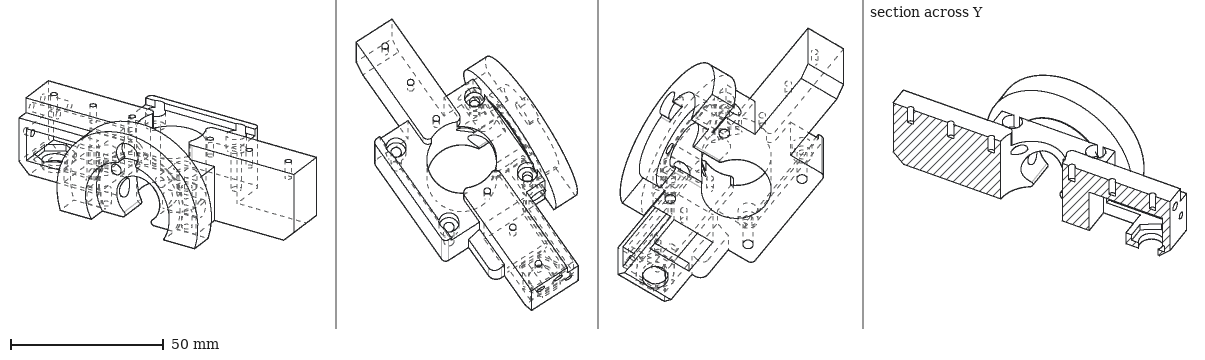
import cadquery as cq
import math

body_half = 21.0
body_front = -18.6
body_height = 20.0
bore_diameter = 22.9
back_corner_radius = 1.6
lip_front = 18.2
lip_top = 22.5

screw_spacing = 31.0
screw_offset = screw_spacing / 2
screw_diameter = 3.4
counterbore_diameter = 6.6
counterbore_depth = 5.2

arm_end = 51.5
arm_inner_end = 10.3
arm_half_width = 7.1
arm_top = 25.4
arm_corner_radius = 2.0
arm_chamfer = 3.9
ledge_front = -11.4

top_holes_per_arm = 3
outermost_top_hole = 45.0
top_hole_pitch = outermost_top_hole / top_holes_per_arm
top_hole_diameter = 2.2
top_hole_depth = 6.2
end_hole_offset = 3.5
end_hole_height = 20.5
end_hole_diameter = 3.0
end_hole_depth = 10.3
cable_hole_y = -7.5
cable_hole_height = 13.4
cable_hole_diameter = 2.4

chamber_left = -48.6
chamber_right = -21.4
chamber_back = 5.6
chamber_floor = 4.9
chamber_top = 16.8
window_right = -22.6
window_frame = 1.5
floor_opening_left = -35.1

nut_x = -43.4
nut_sides = 6
nut_flats = 12.2
nut_depth = 2.4
nut_bolt_diameter = 8.4

rib_left = -35.6
rib_back = 11.4
rib_top = 12.4
rib_back_top = 8.8
rib_corner_radius = 3.1

flange_height = 35.3
flange_radius = 27.1
axis_height = flange_height - flange_radius
flange_back = -19.0
flange_front = -27.5
recess_diameter = 32.1
recess_floor = -20.7
keyhole_diameter = 16.5
keyhole_nose_radius = 1.1
sight_hole_offset = 8.4
sight_hole_height = 16.9
sight_hole_diameter = 3.8

key_height = 27.6
key_diameter = 8.3
key_nose_radius = 0.7
key_depth = 3.5

cross_hole_y = -15.9
cross_hole_diameter = 6.4


def box(x_range, y_range, z_range):
    """Box spanning the given (low, high) ranges."""
    lows, highs = zip(x_range, y_range, z_range)
    sizes = [high - low for low, high in zip(lows, highs)]
    return cq.Workplane("XY").box(*sizes, centered=False).translate(lows)


def rod_x(diameter, y, z, start, end):
    return cq.Workplane("YZ", origin=(start, y, z)).circle(diameter / 2).extrude(end - start)


def rod_y(diameter, x, z, front, back):
    return cq.Workplane("XZ", origin=(x, back, z)).circle(diameter / 2).extrude(back - front)


def rod_z(diameter, x, y, bottom, top):
    return cq.Workplane("XY", origin=(x, y, bottom)).circle(diameter / 2).extrude(top - bottom)


def make_body():
    side = (-body_half, body_half)
    block = box(side, (body_front, body_half), (0, lip_top))
    block = block.edges("|Z and >Y").fillet(back_corner_radius)
    return block.cut(box(side, (body_front, lip_front), (body_height, lip_top)))


def make_arm(side):
    """Arm on the left (side = -1) or right (side = 1) of the body."""
    x_range = sorted((side * arm_inner_end, side * arm_end))
    end_face = "<X" if side < 0 else ">X"
    inner_face = ">X" if side < 0 else "<X"
    arm = box(x_range, (-arm_half_width, arm_half_width), (0, arm_top))
    arm = arm.edges("|Z").edges(inner_face).fillet(arm_corner_radius)
    if side < 0:
        ledge = box((-arm_end, -body_half), (ledge_front, arm_half_width), (0, body_height))
        arm = arm.union(ledge)
    return arm.faces(end_face).edges("<Z").chamfer(arm_chamfer)


def make_rib():
    profile = [
        (0, 0),
        (rib_back, 0),
        (rib_back, rib_back_top),
        (arm_half_width, rib_top),
        (0, rib_top),
    ]
    rib = cq.Workplane("YZ", origin=(rib_left, 0, 0)).polyline(profile).close()
    rib = rib.extrude(-body_half - rib_left)
    outline = box((rib_left, -body_half), (0, rib_back), (0, rib_top))
    outline = outline.edges("|Z and <X and >Y").fillet(rib_corner_radius)
    return rib.intersect(outline)


def make_neck(half_outline, nose_radius, nose_x, nose_z, front, back):
    """Passage along Y, symmetric about x = 0, between two rounded noses of material.

    half_outline lists the (x, z) corners on the +X side, from bottom to top.
    """
    mirrored = [(-x, z) for x, z in reversed(half_outline) if x > 0]
    neck = cq.Workplane("XZ", origin=(0, back, 0)).polyline(half_outline + mirrored).close()
    neck = neck.extrude(back - front)
    for side in (-1, 1):
        neck = neck.cut(rod_y(2 * nose_radius, side * nose_x, nose_z, front, back))
    return neck


def make_key_pocket():
    """Round pocket joined to the recess; the noses are tangent to both circles."""
    back = flange_front + key_depth
    key = rod_y(key_diameter, 0, key_height, flange_front, back)
    to_axis = recess_diameter / 2 + key_nose_radius
    to_key = key_diameter / 2 + key_nose_radius
    spacing = key_height - axis_height
    rise = (spacing**2 + to_axis**2 - to_key**2) / (2 * spacing)
    nose_x = math.sqrt(to_axis**2 - rise**2)
    nose_z = axis_height + rise
    half_outline = [(0, axis_height), (nose_x, nose_z), (0, key_height)]
    return key.union(make_neck(half_outline, key_nose_radius, nose_x, nose_z, flange_front, back))


def make_flange():
    ring = rod_y(2 * flange_radius, 0, axis_height, flange_front, flange_back)
    recess = rod_y(recess_diameter, 0, axis_height, flange_front, recess_floor)
    boss = rod_y(recess_diameter, 0, axis_height, recess_floor, body_front)
    flange = ring.cut(make_key_pocket()).cut(recess).union(boss)
    below = box((-flange_radius, flange_radius), (flange_front, body_front), (-flange_radius, 0))
    return flange.cut(below)


def make_chamber():
    window = box(
        (chamber_left, window_right),
        (ledge_front, chamber_back),
        (chamber_floor, chamber_top),
    )
    inner_front = ledge_front + window_frame
    well = box(
        (floor_opening_left, chamber_right),
        (inner_front, chamber_back),
        (0, chamber_top),
    )
    return window.union(well)


def make_nut_pocket():
    """Hexagonal pocket with two flats facing along X, and its bolt hole."""
    nut_y = (ledge_front + arm_half_width) / 2
    pocket = cq.Workplane("XY").polygon(nut_sides, nut_flats, circumscribed=True).extrude(nut_depth)
    pocket = pocket.translate((nut_x, nut_y, chamber_floor - nut_depth))
    return pocket.union(rod_z(nut_bolt_diameter, nut_x, nut_y, 0, chamber_floor))


def make_keyhole():
    """Round opening from the flange into the bore, with a slot down to the base.

    The noses beside the slot are tangent to the opening and to the base plane.
    """
    opening = rod_y(keyhole_diameter, 0, axis_height, recess_floor, 0)
    nose_z = keyhole_nose_radius
    to_axis = keyhole_diameter / 2 + keyhole_nose_radius
    nose_x = math.sqrt(to_axis**2 - (axis_height - nose_z) ** 2)
    half_outline = [(nose_x, 0), (nose_x, nose_z), (0, axis_height)]
    slot = make_neck(half_outline, keyhole_nose_radius, nose_x, nose_z, recess_floor, 0)
    return opening.union(slot)


def make_screw_holes():
    counterbore_floor = body_height - counterbore_depth
    holes = cq.Workplane("XY")
    for x in (-screw_offset, screw_offset):
        for y in (-screw_offset, screw_offset):
            holes = holes.add(rod_z(screw_diameter, x, y, 0, body_height))
            holes = holes.add(rod_z(counterbore_diameter, x, y, counterbore_floor, lip_top))
    return holes.combine()


def make_arm_holes():
    """Blind holes in the arm tops and in the left end, and the cable hole."""
    holes = rod_x(cable_hole_diameter, cable_hole_y, cable_hole_height, -arm_end, chamber_left)
    end_hole_bottom = -arm_end + end_hole_depth
    for side in (-1, 1):
        for step in range(1, top_holes_per_arm + 1):
            x = side * step * top_hole_pitch
            holes = holes.add(rod_z(top_hole_diameter, x, 0, arm_top - top_hole_depth, arm_top))
        y = side * end_hole_offset
        holes = holes.add(rod_x(end_hole_diameter, y, end_hole_height, -arm_end, end_hole_bottom))
    return holes.combine()


def make_sight_holes():
    """Pair of holes from the recess floor into the bore."""
    left, right = [
        rod_y(sight_hole_diameter, x, sight_hole_height, recess_floor, 0)
        for x in (-sight_hole_offset, sight_hole_offset)
    ]
    return left.union(right)


part = make_body().union(make_arm(-1)).union(make_arm(1)).union(make_rib()).union(make_flange())

cutters = [
    rod_z(bore_diameter, 0, 0, 0, arm_top),
    rod_x(cross_hole_diameter, cross_hole_y, axis_height, -body_half, body_half),
    make_keyhole(),
    make_sight_holes(),
    make_chamber(),
    make_nut_pocket(),
    make_screw_holes(),
    make_arm_holes(),
]
for cutter in cutters:
    part = part.cut(cutter)

result = part